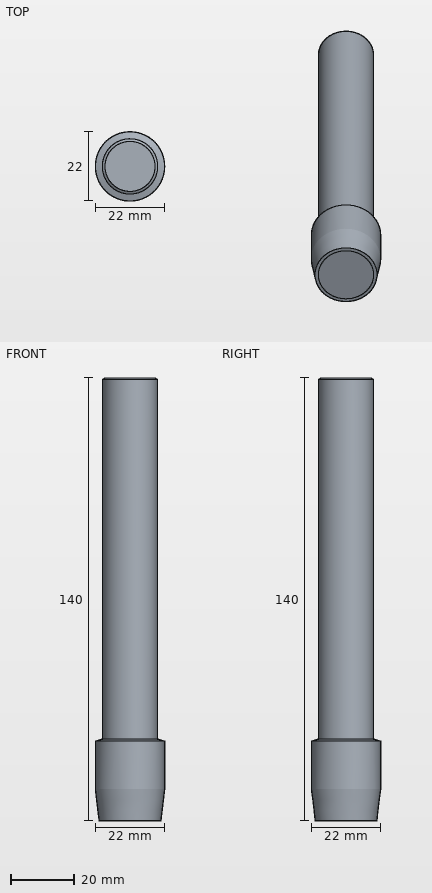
import cadquery as cq

total_length = 140.0
rod_diameter = 17.5
rod_chamfer_width = 0.8
rod_chamfer_height = 0.5

collar_diameter = 22.0
nose_diameter = 19.6
nose_height = 10.0
barrel_height = 15.3
shoulder_height = 0.7

rod_radius = rod_diameter / 2
collar_radius = collar_diameter / 2
nose_radius = nose_diameter / 2


def make_rod():
    """Full-length rod with a small conical chamfer around its top face."""
    return (
        cq.Workplane("XZ")
        .lineTo(rod_radius, 0)
        .lineTo(rod_radius, total_length - rod_chamfer_height)
        .lineTo(rod_radius - rod_chamfer_width, total_length)
        .lineTo(0, total_length)
        .close()
        .revolve(360, (0, 0), (0, 1))
    )


def make_collar():
    """Sleeve with a tapered nose, a barrel and a conical shoulder."""
    barrel_top = nose_height + barrel_height
    return (
        cq.Workplane("XZ")
        .moveTo(rod_radius, 0)
        .lineTo(nose_radius, 0)
        .lineTo(collar_radius, nose_height)
        .lineTo(collar_radius, barrel_top)
        .lineTo(rod_radius, barrel_top + shoulder_height)
        .close()
        .revolve(360, (0, 0), (0, 1))
    )


rod = make_rod()
collar = make_collar()
result = cq.Compound.makeCompound([rod.val(), collar.val()])